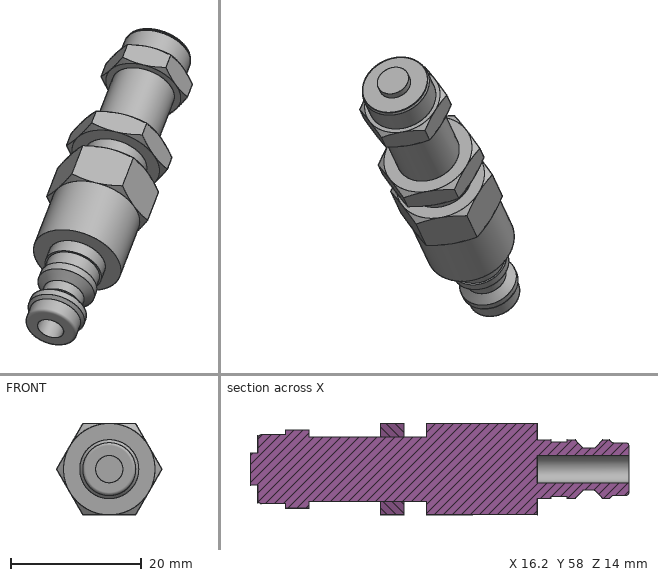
import cadquery as cq
import math


tip_end = 0.0
tip_shoulder_y = 2.5
latch_ring_front_y = 3.0
latch_ring_back_y = 4.05
neck_front_y = 5.3
neck_back_y = 7.0
seal_band_front_y = 8.25
seal_band_back_y = 9.5
relief_back_y = 11.95
sleeve_front_y = 14.05
body_hex_front_y = 24.0
body_hex_back_y = 31.05
lock_nut_front_y = 34.45
union_hex_front_y = 49.0
union_hex_back_y = 52.65
collar_back_y = 56.9
tube_end_y = 58.0
nut_width = union_hex_back_y - union_hex_front_y

tip_radius = 4.05
plug_radius = 4.5
relief_radius = 4.25
neck_radius = 3.25
barrel_radius = 5.0
collar_radius = 5.35
tube_radius = 2.5
bore_radius = 2.1

large_across_corners = 16.2
small_across_corners = 13.85
large_across_flats = large_across_corners * math.cos(math.pi / 6)
hex_chamfer_angle = 30.0

tip_fillet = 0.45
collar_chamfer_width = 0.2
collar_chamfer_length = 0.35
collar_lip_length = 0.2
bore_depth = sleeve_front_y


def revolve_about_y(points):
    """Solid of revolution from (radius, y) points."""
    return cq.Workplane("XY").polyline(points).close().revolve(360, (0, 0, 0), (0, 1, 0))


def cylinder(radius, front_y, back_y):
    return revolve_about_y([(0, front_y), (radius, front_y), (radius, back_y), (0, back_y)])


def chamfered_hexagon(across_corners, front_y, back_y):
    """Hexagonal prism with corners on the X axis, both ends turned to a cone."""
    corner_radius = across_corners / 2
    flat_radius = corner_radius * math.cos(math.pi / 6)
    chamfer_length = (corner_radius - flat_radius) * math.tan(math.radians(hex_chamfer_angle))
    prism = (
        cq.Workplane("XZ", origin=(0, front_y, 0))
        .polygon(6, across_corners)
        .extrude(front_y - back_y)
    )
    turned_blank = revolve_about_y([
        (0, front_y),
        (flat_radius, front_y),
        (corner_radius, front_y + chamfer_length),
        (corner_radius, back_y - chamfer_length),
        (flat_radius, back_y),
        (0, back_y),
    ])
    return prism.intersect(turned_blank)


def make_plug():
    """Coupling plug with its locking neck, rounded tip and blind bore."""
    plug = revolve_about_y([
        (0, tip_end),
        (tip_radius, tip_end),
        (tip_radius, tip_shoulder_y),
        (plug_radius, latch_ring_front_y),
        (plug_radius, latch_ring_back_y),
        (neck_radius, neck_front_y),
        (neck_radius, neck_back_y),
        (plug_radius, seal_band_front_y),
        (plug_radius, seal_band_back_y),
        (relief_radius, seal_band_back_y),
        (relief_radius, relief_back_y),
        (plug_radius, relief_back_y),
        (plug_radius, sleeve_front_y),
        (0, sleeve_front_y),
    ])
    return plug.faces("<Y").edges().fillet(tip_fillet)


def make_collar():
    """Round collar of the tube end, its outer rim chamfered down to a short lip."""
    lip_radius = collar_radius - collar_chamfer_width
    lip_front_y = collar_back_y - collar_lip_length
    return revolve_about_y([
        (0, union_hex_back_y),
        (collar_radius, union_hex_back_y),
        (collar_radius, lip_front_y - collar_chamfer_length),
        (lip_radius, lip_front_y),
        (lip_radius, collar_back_y),
        (0, collar_back_y),
    ])


def make_fitting():
    """Plug, sleeve, body hexagon, barrel, union hexagon, collar and tube stub in one piece."""
    bore = cylinder(bore_radius, tip_end, bore_depth)
    return (
        make_plug()
        .union(cylinder(large_across_flats / 2, sleeve_front_y, body_hex_front_y))
        .union(chamfered_hexagon(large_across_corners, body_hex_front_y, body_hex_back_y))
        .union(cylinder(barrel_radius, body_hex_back_y, union_hex_front_y))
        .union(chamfered_hexagon(small_across_corners, union_hex_front_y, union_hex_back_y))
        .union(make_collar())
        .union(cylinder(tube_radius, collar_back_y, tube_end_y))
        .cut(bore)
    )


def make_lock_nut():
    """Hexagonal nut that sits on the barrel."""
    lock_nut_back_y = lock_nut_front_y + nut_width
    nut = chamfered_hexagon(large_across_corners, lock_nut_front_y, lock_nut_back_y)
    return nut.cut(cylinder(barrel_radius, lock_nut_front_y, lock_nut_back_y))


fitting = make_fitting()
lock_nut = make_lock_nut()

result = cq.Compound.makeCompound([fitting.solids().val(), lock_nut.solids().val()])